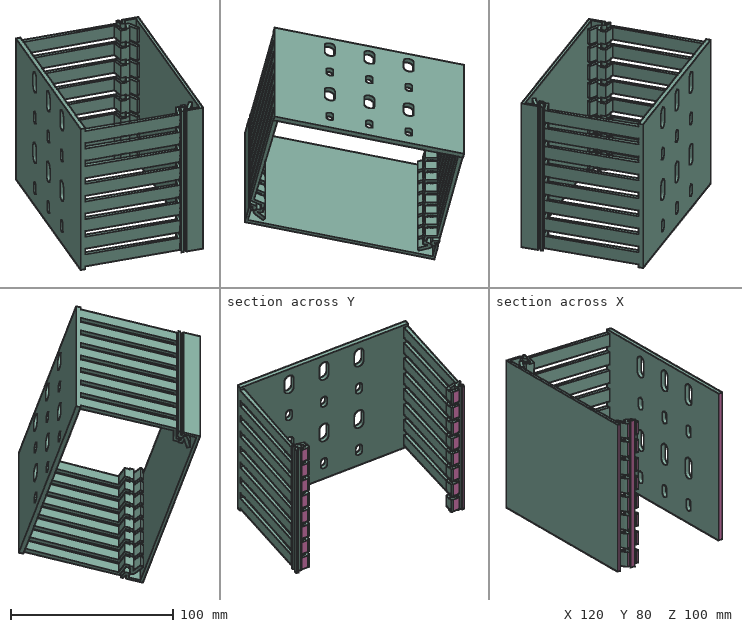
import cadquery as cq

WIDTH = 120.0
DEPTH = 80.0
LENGTH = 100.0
FLOOR_THICKNESS = 3.0

FINGER_COUNT = 8
FINGER_GAP = 4.0
FINGER_PITCH = LENGTH / FINGER_COUNT
HEAD_GAP = 2.5
FINGER_ROOT_THICKNESS = 2.9
FINGER_TIP_THICKNESS = 2.0

SLOT_COLUMNS = 3
SLOT_ROWS = 4
SLOT_PITCH = LENGTH / SLOT_ROWS
SMALL_SLOT_SIZE = (8.0, 4.5)
LARGE_SLOT_SIZE = (14.0, 6.5)

COVER_THICKNESS = 2.0
COVER_WALL_THICKNESS = 1.5

HEAD_START = 11.3
GROOVE_INSET = 7.5
CLIP_INSET = 9.4
CLIP_OUTER_EDGE = [
    (0, 15.1),
    (GROOVE_INSET, 13.2),
]
CLIP_HEAD = [
    (GROOVE_INSET, HEAD_START),
    (GROOVE_INSET, 10.5),
    (5.2, 10.1),
    (3.5, 9.4),
    (3.5, 7.8),
    (5.0, 6.4),
    (10.8, 3.2),
    (11.9, 5.0),
    (6.4, 8.3),
    (CLIP_INSET, 8.8),
    (CLIP_INSET, HEAD_START),
]
CLIP_INNER_EDGE = [
    (CLIP_INSET, 14.6),
    (FINGER_TIP_THICKNESS, 16.3),
]
HOOK_INNER_END = (3.8, 9.7)
HOOK_TIP = (4.9, 11.6)
HOOK_OUTER_END = (4.1, 13.2)
HOOK_LIP = [
    (0, 14.3),
    (0, 12.8),
    (2.4, 11.8),
    (2.4, 11.3),
    (0.7, 11.2),
    (0, 10.8),
]


def side_points(profile, side):
    """Place (inset, depth) points on the left (-1) or right (+1) side."""
    return [(side * (WIDTH / 2 - inset), DEPTH - depth) for inset, depth in profile]


def make_bar(profile, side, gap, index):
    """Extrude a finger profile along Z, leaving the given gap between neighbours."""
    z_start = index * FINGER_PITCH + gap / 2
    outline = cq.Workplane("XY", origin=(0, 0, z_start)).polyline(side_points(profile, side)).close()
    return outline.extrude(FINGER_PITCH - gap)


def make_finger(side, index):
    """One wall finger, tapering from the floor up, with a wider snap head."""
    root_depth = DEPTH - FLOOR_THICKNESS
    root = [(FINGER_ROOT_THICKNESS, root_depth), (0, root_depth)]
    stem_profile = [*root, *CLIP_OUTER_EDGE, CLIP_HEAD[0], CLIP_HEAD[-1], *CLIP_INNER_EDGE]
    stem = make_bar(stem_profile, side, FINGER_GAP, index)
    return stem.union(make_bar(CLIP_HEAD, side, HEAD_GAP, index))


def make_mounting_slot(column, row):
    """Cutter for one mounting slot, long along Z."""
    x = (column - (SLOT_COLUMNS - 1) / 2) * SLOT_PITCH
    z = (row + 0.5) * SLOT_PITCH
    length, width = LARGE_SLOT_SIZE if row % 2 else SMALL_SLOT_SIZE
    outline = cq.Workplane("XZ", origin=(x, 0, z)).slot2D(length, width, 90)
    return outline.extrude(-FLOOR_THICKNESS)


def make_base():
    """Floor with its mounting slots and two rows of fingers."""
    base = cq.Workplane("XY").box(WIDTH, FLOOR_THICKNESS, LENGTH, centered=(True, False, False))
    for column in range(SLOT_COLUMNS):
        for row in range(SLOT_ROWS):
            base = base.cut(make_mounting_slot(column, row))
    for side in (-1, 1):
        for index in range(FINGER_COUNT):
            base = base.union(make_finger(side, index))
    return base


def make_cover_hook(side):
    """Side wall of the cover, ending in a rounded hook."""
    wall_top = [(0, 0), (COVER_WALL_THICKNESS, 0)]
    inner_edge = [*wall_top, (COVER_WALL_THICKNESS, HOOK_INNER_END[1]), HOOK_INNER_END]
    outline = cq.Workplane("XY").polyline(side_points(inner_edge, side))
    outline = outline.threePointArc(*side_points([HOOK_TIP, HOOK_OUTER_END], side))
    for x, y in side_points(HOOK_LIP, side):
        outline = outline.lineTo(x, y)
    return outline.close().extrude(LENGTH)


def make_cover():
    """Flat cover with a hooked wall along each long edge."""
    cover = cq.Workplane("XY", origin=(0, DEPTH - COVER_THICKNESS, 0)).box(
        WIDTH, COVER_THICKNESS, LENGTH, centered=(True, False, False)
    )
    for side in (-1, 1):
        cover = cover.union(make_cover_hook(side))
    return cover.clean()


base = make_base()
cover = make_cover()

result = cq.Compound.makeCompound([base.val(), cover.val()])